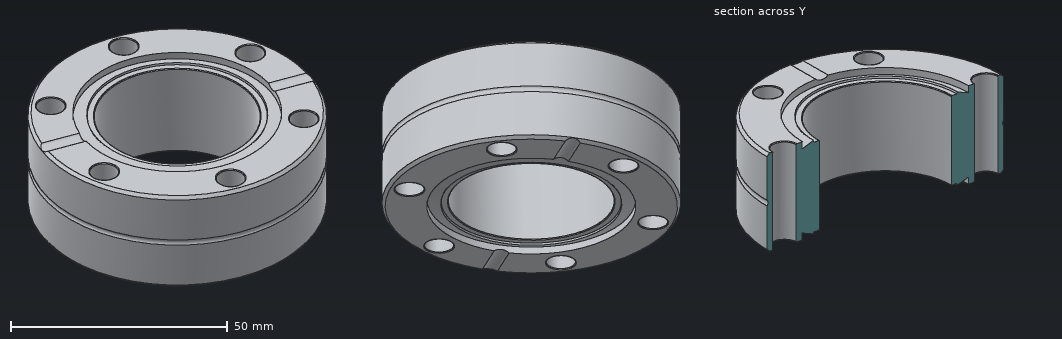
import cadquery as cq
import math

outer_diameter = 69.1
thickness = 25.4
edge_chamfer = 0.75

bore_diameter = 38.35
bore_chamfer = 0.2
recess_diameter = 48.3
knife_diameter = 41.9
knife_foot_diameter = 41.6
knife_depth = 0.6
knife_slope = 20.0
seat_depth = 1.1

bolt_count = 6
bolt_circle_diameter = 58.7
bolt_hole_diameter = 6.7
bolt_hole_chamfer = 0.2

channel_width = 3.6
channel_depth = 0.7

rim_groove_width = 1.45
rim_groove_depth = 0.3

outer_radius = outer_diameter / 2
bore_radius = bore_diameter / 2
recess_radius = recess_diameter / 2
knife_radius = knife_diameter / 2
half_thickness = thickness / 2


def make_body():
    """Rim-grooved ring with chamfered edges."""
    half_groove = rim_groove_width / 2
    profile = (
        cq.Workplane("XZ")
        .moveTo(bore_radius, -half_thickness)
        .lineTo(outer_radius - edge_chamfer, -half_thickness)
        .lineTo(outer_radius, -half_thickness + edge_chamfer)
        .lineTo(outer_radius, -half_groove)
        .threePointArc((outer_radius - rim_groove_depth, 0), (outer_radius, half_groove))
        .lineTo(outer_radius, half_thickness - edge_chamfer)
        .lineTo(outer_radius - edge_chamfer, half_thickness)
        .lineTo(bore_radius, half_thickness)
        .close()
    )
    return profile.revolve(360, (0, 0, 0), (0, 1, 0))


def make_recess():
    """Top recess: straight wall, sloped floor rising to the knife edge, flat seat and bore chamfer."""
    knife_rise = (recess_radius - knife_radius) * math.tan(math.radians(knife_slope))
    seat_z = half_thickness - seat_depth
    knife_z = half_thickness - knife_depth
    profile = (
        cq.Workplane("XZ")
        .moveTo(0, half_thickness)
        .lineTo(recess_radius, half_thickness)
        .lineTo(recess_radius, knife_z - knife_rise)
        .lineTo(knife_radius, knife_z)
        .lineTo(knife_foot_diameter / 2, seat_z)
        .lineTo(bore_radius + bore_chamfer, seat_z)
        .lineTo(bore_radius, seat_z - bore_chamfer)
        .lineTo(0, seat_z - bore_chamfer)
        .close()
    )
    return profile.revolve(360, (0, 0, 0), (0, 1, 0))


def make_channels():
    """Cylinder whose lower segment cuts the channels from the recess out to the rim."""
    channel_radius = (channel_width**2 / 4 + channel_depth**2) / (2 * channel_depth)
    axis_z = half_thickness - channel_depth + channel_radius
    cylinder = (
        cq.Workplane("XZ")
        .center(0, axis_z)
        .circle(channel_radius)
        .extrude(outer_radius, both=True)
    )
    recess_core = cq.Workplane("XY").circle(recess_radius).extrude(outer_diameter)
    return cylinder.cut(recess_core)


def make_bolt_hole():
    """Through hole with a chamfer at each mouth, on the bolt circle along +X."""
    hole_radius = bolt_hole_diameter / 2
    mouth_radius = hole_radius + bolt_hole_chamfer
    straight_end = half_thickness - bolt_hole_chamfer
    profile = (
        cq.Workplane("XZ")
        .moveTo(0, -half_thickness)
        .lineTo(mouth_radius, -half_thickness)
        .lineTo(hole_radius, -straight_end)
        .lineTo(hole_radius, straight_end)
        .lineTo(mouth_radius, half_thickness)
        .lineTo(0, half_thickness)
        .close()
    )
    hole = profile.revolve(360, (0, 0, 0), (0, 1, 0))
    return hole.translate((bolt_circle_diameter / 2, 0, 0))


result = make_body()
for face_cut in (make_recess(), make_channels()):
    result = result.cut(face_cut).cut(face_cut.mirror("XY"))

bolt_hole = make_bolt_hole()
for index in range(bolt_count):
    angle = index * 360 / bolt_count
    result = result.cut(bolt_hole.rotate((0, 0, 0), (0, 0, 1), angle))